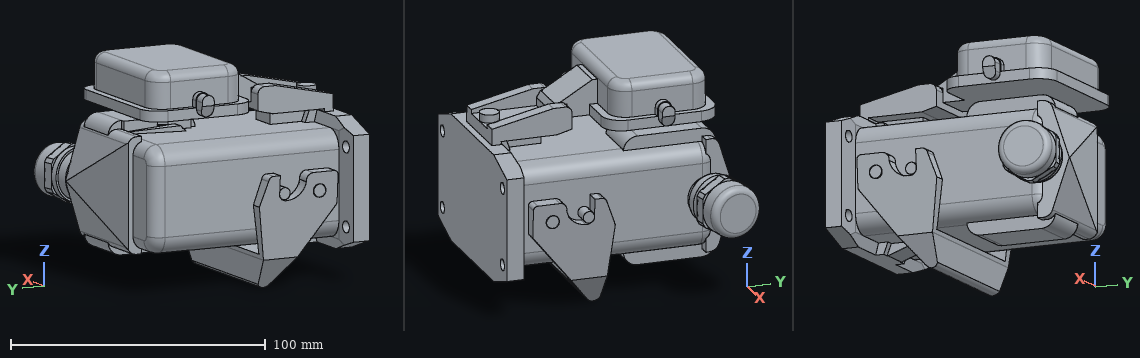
import cadquery as cq
import math


plate_half_x = 40.3
plate_half_z = 26.5
plate_flat_half_x = 25.0
plate_flat_half_z = 21.3
plate_thick = 7.2
plate_crown = 1.2
hole_dia = 4.7
hole_half_x = 35.0
hole_half_z = 16.0

body_half_x = 30.1
body_half_z = 21.7
body_end_y = 90.8
body_corner = 7.5
body_end_fillet = 5.4

gusset_half_x = 9.2
gusset_rim_y = 10.7
gusset_root_y = 12.5
rib_half_x = 6.1
rib_rim_y = 11.1
rib_tail_y = 24.9

hinge_half_x = 14.9
hinge_gap_half_x = 9.2
hinge_front_y = 2.9
hinge_back_y = 36.3
hinge_bottom_z = 27.8
hinge_top_z = 38.9
hinge_nose = 2.9
hinge_floor_z = 31.8
hinge_base_half_x = 6.1
hinge_base_front_y = 6.8
hinge_base_back_y = 26.3
post_dia = 7.9
post_y = 7.1
post_top_z = 35.1

lid_y = 69.1
lid_bottom_z = 32.2
lid_rim_top_z = 36.6
lid_top_z = 51.3
rim_half_x = 31.0
rim_half_y = 23.6
rim_corner = 8.2
lid_half_x = 28.3
lid_half_y = 20.2
lid_corner = 7.5
lid_top_fillet = 4.0
arm_half_x = 8.9
arm_top_z = 46.7
arm_shoulder_y = 46.8
arm_knee_y = 31.8
arm_knee_z = 37.9
arm_tip_y = 30.0

lug_half_x = 35.9
lug_width = 5.3
lug_bottom_z = 33.3
lug_top_z = 42.1
lug_bevel_z = 37.9
lug_bevel_inset = 1.6
lug_collar_grow = 0.3

lever_top_z = 7.5
lever_top_x = 37.1
lever_bend_x = 34.5
lever_bend_z = -26.2
lever_foot_x = 27.4
lever_foot_z = -38.7
lever_inner_x = 31.0
lever_inner_bend_z = -24.4
lever_inner_foot_x = 24.3
lever_inner_foot_z = -37.4
lever_front_y = 12.3
slot_wall_y = 37.9
pivot_y = 20.4
pivot_dia = 5.3
pivot_boss_dia = 11.9
catch_y = 35.6
catch_dia = 4.8
catch_half_x = 36.5

gland_tilt = 10.0
gland_x = 36.2
gland_y = 89.3
roof_end = -7.5
roof_rise = 12.1
roof_ridge_y = 99.9
roof_eave_y = 92.2
roof_base_y = 87.1
roof_half_z = 23.6
roof_eave_fillet = 4.1
roof_start_x = -13.3
slab_start_x = 4.1
slab_end_x = 24.6
slab_half_z = 26.9
slab_near_y = 54.2
slab_far_y = 92.8
slab_corner = 5.9
slab_lug_thick = 2.0
slab_lug_near_y = 57.1
slab_notches = ((61.9, 65.0, 25.4), (67.4, 71.9, 24.0))
shoulder_start_x = -3.1
shoulder_tip_thick = 0.5


def box(x0, x1, y0, y1, z0, z1):
    """Block between two opposite corners."""
    return cq.Workplane("XY").box(x1 - x0, y1 - y0, z1 - z0, centered=False).translate((x0, y0, z0))


def prism_x(points, x0, x1):
    """Prism along X from (y, z) points."""
    return cq.Workplane("YZ").polyline(points).close().extrude(x1 - x0).translate((x0, 0, 0))


def prism_y(points, y0, y1):
    """Prism along Y from (x, z) points."""
    return cq.Workplane("XZ").polyline(points).close().extrude(y0 - y1).translate((0, y0, 0))


def prism_z(points, z0, z1):
    """Prism along Z from (x, y) points."""
    return cq.Workplane("XY").polyline(points).close().extrude(z1 - z0).translate((0, 0, z0))


def rod_x(diameter, y, x0, x1):
    """Round bar along X at Z = 0."""
    return cq.Workplane("YZ").center(y, 0).circle(diameter / 2).extrude(x1 - x0).translate((x0, 0, 0))


def both_sides(solid):
    """The solid together with its mirror image across X = 0."""
    return solid.union(solid.mirror("YZ"))


def mounting_plate():
    back_y = plate_thick + plate_crown
    outline = []
    for sx, sz in ((1, 1), (-1, 1), (-1, -1), (1, -1)):
        corner = [(sx * plate_half_x, sz * plate_flat_half_z), (sx * plate_flat_half_x, sz * plate_half_z)]
        outline += corner if sx * sz > 0 else corner[::-1]
    plate = prism_y(outline, 0, back_y)

    def sloped_back(plate_half, body_half):
        half = [(plate_half, 0), (plate_half, plate_thick), (body_half, back_y)]
        return half + [(-across, y) for across, y in half[::-1]]

    crown_x = prism_z(sloped_back(plate_half_x, body_half_x), -plate_half_z, plate_half_z)
    rise_points = [(y, z) for z, y in sloped_back(plate_half_z, body_half_z)]
    crown_z = prism_x(rise_points, -plate_half_x, plate_half_x)
    holes = (
        cq.Workplane("XZ")
        .rect(2 * hole_half_x, 2 * hole_half_z, forConstruction=True)
        .vertices()
        .circle(hole_dia / 2)
        .extrude(-back_y)
    )
    return plate.intersect(crown_x).intersect(crown_z).cut(holes)


def housing_body():
    body = box(-body_half_x, body_half_x, 0, body_end_y, -body_half_z, body_half_z)
    return body.edges("|Y").fillet(body_corner).faces(">Y").edges().fillet(body_end_fillet)


def gussets():
    gusset_profile = [
        (0, 0),
        (0, plate_half_z),
        (gusset_rim_y, plate_half_z),
        (gusset_root_y, body_half_z),
        (gusset_root_y, 0),
    ]
    gusset = prism_x(gusset_profile, -gusset_half_x, gusset_half_x)
    rib_profile = [
        (0, 0),
        (0, -plate_half_z),
        (rib_rim_y, -plate_half_z),
        (rib_tail_y, -body_half_z),
        (rib_tail_y, 0),
    ]
    rib = prism_x(rib_profile, -rib_half_x, rib_half_x)
    return gusset.union(gusset.mirror("XY")).union(rib)


def hinge_block():
    heel_z = 33.4
    slope_start_y = 28.5
    chin_y = 29.9
    chin_z = 29.4
    profile = [
        (hinge_front_y, plate_half_z),
        (hinge_front_y, heel_z),
        (slope_start_y, hinge_top_z),
        (hinge_back_y, hinge_top_z),
        (hinge_back_y, chin_z),
        (chin_y, hinge_bottom_z),
        (hinge_base_front_y, hinge_bottom_z),
        (hinge_base_front_y, plate_half_z),
    ]
    block = prism_x(profile, -hinge_half_x, hinge_half_x)
    block = block.edges("|X").edges(">Y and >Z").fillet(hinge_nose)
    channel = box(-hinge_gap_half_x, hinge_gap_half_x, 0, hinge_back_y, hinge_floor_z, hinge_top_z)
    base = box(
        -hinge_base_half_x, hinge_base_half_x, hinge_base_front_y, hinge_base_back_y, 0, hinge_floor_z
    )
    post = cq.Workplane("XY").center(0, post_y).circle(post_dia / 2).extrude(post_top_z - hinge_bottom_z)
    return block.cut(channel).union(base).union(post.translate((0, 0, hinge_bottom_z)))


def cover_lid():
    rim = box(-rim_half_x, rim_half_x, lid_y - rim_half_y, lid_y + rim_half_y, lid_bottom_z, lid_rim_top_z)
    rim = rim.edges("|Z").fillet(rim_corner)
    dome = box(-lid_half_x, lid_half_x, lid_y - lid_half_y, lid_y + lid_half_y, lid_bottom_z, lid_top_z)
    dome = dome.edges("|Z").fillet(lid_corner).faces(">Z").edges().fillet(lid_top_fillet)
    return rim.union(dome)


def lid_arm():
    arm_profile = [
        (lid_y, lid_bottom_z),
        (lid_y, arm_top_z),
        (arm_shoulder_y, arm_top_z),
        (arm_knee_y, arm_knee_z),
        (arm_tip_y, post_top_z),
        (arm_tip_y, lid_bottom_z),
    ]
    arm = prism_x(arm_profile, -arm_half_x, arm_half_x)
    knuckle = prism_x(
        [
            (hinge_back_y, hinge_floor_z),
            (hinge_back_y, arm_knee_z),
            (arm_knee_y, arm_knee_z),
            (arm_tip_y, post_top_z),
            (arm_tip_y, hinge_floor_z),
        ],
        -hinge_gap_half_x,
        hinge_gap_half_x,
    )
    return arm.union(knuckle)


def lid_lug():
    """Upright oblong pin on the +X side of the lid, with a thin collar at its root."""
    mid_z = (lug_bottom_z + lug_top_z) / 2
    height = lug_top_z - lug_bottom_z
    sketch = cq.Workplane("YZ").center(lid_y, mid_z)
    pin = sketch.slot2D(height, lug_width, 90).extrude(lug_half_x)
    grow = 2 * lug_collar_grow
    collar = sketch.slot2D(height + grow, lug_width + grow, 90).extrude(rim_half_x)
    bevel = prism_y(
        [
            (lug_half_x, lug_bevel_z),
            (lug_half_x, lug_bottom_z),
            (lug_half_x - lug_bevel_inset, lug_bottom_z),
        ],
        lid_y - lug_width,
        lid_y + lug_width,
    )
    return pin.cut(bevel).union(collar)


def lever_side_profile():
    """Lever seen along X, with its open catch slot, as a prism over the full width."""
    outline = (
        cq.Workplane("YZ")
        .moveTo(slot_wall_y, lever_top_z)
        .lineTo(slot_wall_y, 0)
        .threePointArc((36.8, -2.3), (34.3, -2.9))
        .threePointArc((28.9, -0.7), (26.2, 4.0))
        .threePointArc((25.4, 6.6), (23.2, lever_top_z))
        .lineTo(14.0, lever_top_z)
        .threePointArc((12.8, 7.0), (lever_front_y, 5.7))
        .lineTo(lever_front_y, -5.9)
        .lineTo(37.9, -37.4)
        .threePointArc((40.4, lever_foot_z), (43.2, -37.0))
        .lineTo(44.0, lever_bend_z)
        .lineTo(46.7, -4.5)
        .lineTo(43.0, 5.5)
        .threePointArc((42.3, 6.9), (40.9, lever_top_z))
        .close()
    )
    return outline.extrude(lever_top_x, both=True)


def locking_lever():
    web_front_y = 33.8
    web_corner_z = -27.7
    web_foot_y = 38.4
    back_y = 47.1
    outer = [
        (lever_top_x, lever_top_z),
        (lever_bend_x, lever_bend_z),
        (lever_foot_x, lever_foot_z),
    ]
    inner = [
        (lever_inner_x, lever_top_z),
        (lever_inner_x, lever_inner_bend_z),
        (lever_inner_foot_x, lever_inner_foot_z),
    ]
    frame = prism_y(outer + [(-x, z) for x, z in outer[::-1]], 0, back_y)
    inside = prism_y(inner + [(-x, z) for x, z in inner[::-1]], 0, back_y)
    web = prism_x(
        [
            (back_y, lever_inner_bend_z),
            (web_front_y, lever_inner_bend_z),
            (web_front_y, web_corner_z),
            (web_foot_y, lever_inner_foot_z),
            (back_y, lever_inner_foot_z),
        ],
        -lever_inner_x,
        lever_inner_x,
    )
    return frame.cut(inside.cut(web)).intersect(lever_side_profile())


def lever_pins():
    pivot = rod_x(pivot_dia, pivot_y, 0, lever_top_x)
    boss = rod_x(pivot_boss_dia, pivot_y, 0, lever_inner_x)
    catch = rod_x(catch_dia, catch_y, 0, catch_half_x)
    return both_sides(pivot.union(boss).union(catch))


def cable_gland():
    """Stack of turned rings and a hexagon along +X; X = 0 is the end of the collar."""
    neck_start = -11.6
    neck_end = -4.9
    neck_radius = 9.0
    collar_radius = 10.0
    shoulder_radius = 11.0
    cap_radius = 10.9
    nut_start = 3.0
    nut_end = 7.6
    cap_end = 16.4
    cap_fillet = 2.8
    hex_half_flats = 10.9
    hex_round_radius = 12.0

    def ring(radius, start, end):
        return rod_x(2 * radius, 0, start, end)

    neck = ring(neck_radius, neck_start, neck_end)
    collar = ring(collar_radius, neck_end, 0)
    shoulder = ring(shoulder_radius, 0, nut_start)
    hex_corner_dia = 2 * hex_half_flats / math.cos(math.radians(30))
    nut = cq.Workplane("YZ").polygon(6, hex_corner_dia).extrude(nut_end - nut_start)
    nut = nut.rotate((0, 0, 0), (1, 0, 0), 90).translate((nut_start, 0, 0))
    nut = nut.intersect(ring(hex_round_radius, nut_start, nut_end))
    cap = ring(cap_radius, nut_end, cap_end).faces(">X").edges().fillet(cap_fillet)
    return neck.union(collar).union(shoulder).union(nut).union(cap)


def along_gland(solid):
    """Place a solid built along +X onto the tilted gland axis."""
    return solid.rotate((0, 0, 0), (0, 0, 1), gland_tilt).translate((gland_x, gland_y, 0))


def entry_roof():
    """Gabled roof on the slab, sliced by the tilted plane of its sloping face and by its tilted end."""
    section = [
        (roof_base_y, -roof_half_z),
        (roof_eave_y, -roof_half_z),
        (roof_ridge_y, 0),
        (roof_eave_y, roof_half_z),
        (roof_base_y, roof_half_z),
    ]
    roof = prism_x(section, roof_start_x, gland_x)
    roof = roof.faces("<Z or >Z").edges(">Y").fillet(roof_eave_fillet)
    envelope = box(-2 * plate_half_x, roof_end, -body_end_y, roof_rise, -roof_half_z, roof_half_z)
    return roof.intersect(along_gland(envelope))


def entry_slab():
    slab = box(slab_start_x, slab_end_x, slab_near_y, slab_far_y, -slab_half_z, slab_half_z)
    slab = slab.edges("|X").fillet(slab_corner)
    lug_x = slab_start_x - slab_lug_thick
    lug = box(lug_x, slab_start_x, slab_lug_near_y, slab_far_y - slab_corner, body_half_z, slab_half_z)
    for near_y, far_y, floor_z in slab_notches:
        wedge = [(lug_x, near_y), (lug_x, far_y), (slab_start_x, far_y)]
        lug = lug.cut(prism_z(wedge, floor_z, slab_half_z))
    return slab.union(lug)


def entry_shoulder():
    """Low pad above and below the housing, thinning out towards the far end."""
    near_y = 62.0
    crest_y = 64.2
    crest_z = 24.0
    far_y = 86.9
    far_z = 22.5
    upper = [(near_y, body_half_z), (crest_y, crest_z), (far_y, far_z)]
    pad = prism_x(upper + [(y, -z) for y, z in upper[::-1]], shoulder_start_x, slab_start_x)
    tip_x = slab_start_x - slab_lug_thick - shoulder_tip_thick
    ramp = [(shoulder_start_x, near_y), (slab_start_x, near_y), (slab_start_x, far_y), (tip_x, far_y)]
    return pad.intersect(prism_z(ramp, -crest_z, crest_z))


result = mounting_plate().union(housing_body())
for feature in (
    gussets(),
    hinge_block(),
    cover_lid(),
    lid_arm(),
    both_sides(lid_lug()),
    locking_lever(),
    lever_pins(),
    along_gland(cable_gland()),
    entry_roof(),
    entry_slab(),
    entry_shoulder(),
):
    result = result.union(feature)